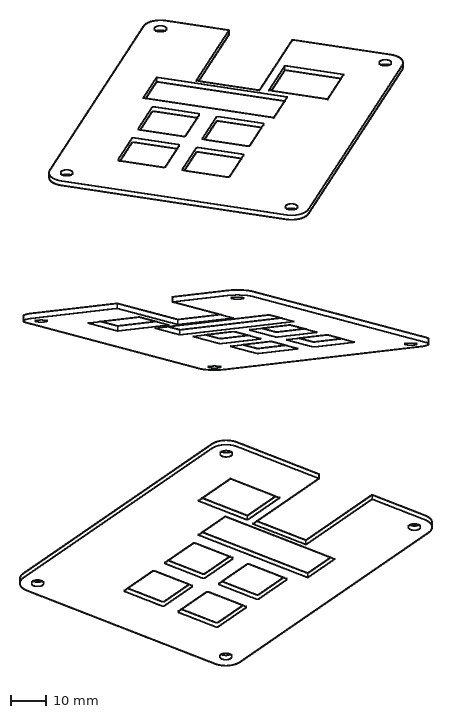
import cadquery as cq

plate_width = 76.5
plate_length = 98.5
plate_thickness = 1.5
corner_radius = 5.0

hole_diameter = 3.4

notch_left = 23.7
notch_width = 18.7
notch_depth = 31.0

window_left = 45.0
window_bottom = 68.3
window_width = 17.3
window_height = 15.1

display_left = 12.5
display_bottom = 53.4
display_width = 38.6
display_height = 12.6

key_size = 14.0
key_pitch = 19.0
key_corner_radius = 0.5
keys_left = 16.5
keys_bottom = 16.3
keys_per_side = 2


def block(left, bottom, width, height):
    """Rectangular prism through the plate thickness, placed by its lower-left corner."""
    return cq.Workplane("XY").box(width, height, plate_thickness, centered=False).translate((left, bottom, 0))


def rounded_block(left, bottom, width, height, radius):
    """Rectangular prism with rounded vertical edges."""
    return block(left, bottom, width, height).edges("|Z").fillet(radius)


plate = rounded_block(0, 0, plate_width, plate_length, corner_radius)

hole_centres = [
    (x, y)
    for x in (corner_radius, plate_width - corner_radius)
    for y in (corner_radius, plate_length - corner_radius)
]
plate = plate.faces(">Z").workplane(origin=(0, 0, 0)).pushPoints(hole_centres).hole(hole_diameter)

plate = plate.cut(block(notch_left, plate_length - notch_depth, notch_width, notch_depth))
plate = plate.cut(block(window_left, window_bottom, window_width, window_height))
plate = plate.cut(block(display_left, display_bottom, display_width, display_height))

for column in range(keys_per_side):
    for row in range(keys_per_side):
        key_left = keys_left + column * key_pitch
        key_bottom = keys_bottom + row * key_pitch
        plate = plate.cut(rounded_block(key_left, key_bottom, key_size, key_size, key_corner_radius))

result = plate